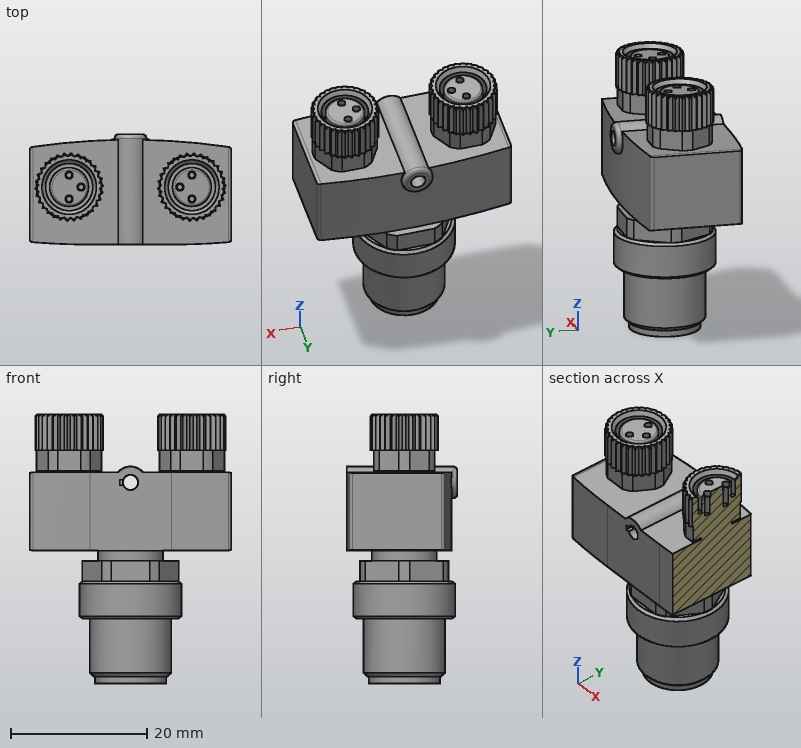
import cadquery as cq
import math

BODY_LENGTH = 29.6
BODY_HEIGHT = 11.5
BODY_FRONT_Y = -8.45
BODY_BACK_Y = 6.95
FRONT_FLAT_LENGTH = 12.0
FACE_BOW_RADIUS = 100.0
CORNER_FILLET = 0.5
END_CROWN_WIDTH = 0.5
END_CROWN_DROP = 0.15

TUBE_DIAMETER = 4.7
TUBE_BACK_Y = 7.78
TUBE_AXIS_Z = 10.0
TUBE_END_FILLET = 0.65
TUBE_BORE_DIAMETER = 2.2
KEY_SLOT_HEIGHT = 0.8
KEY_SLOT_REACH = 1.6
KEY_SLOT_DEPTH = 1.0

SOCKET_SPACING = 18.0
SOCKET_TOP_Z = 20.0
NECK_DIAMETER = 5.9
NUT_BOTTOM_Z = 11.7
NUT_HEX_FLATS = 9.0
NUT_HEX_CORNER_DIAMETER = 9.6
KNURL_BOTTOM_Z = 14.7
KNURL_DIAMETER = 10.0
KNURL_ROOT_DIAMETER = 9.0
KNURL_TEETH = 30
KNURL_TIP_ANGLE = 2.5
KNURL_CHAMFER_WIDTH = 0.3
KNURL_CHAMFER_HEIGHT = 0.35

MOUTH_DIAMETER = 8.0
MOUTH_CONE_DEPTH = 0.65
SOCKET_BORE_DIAMETER = 6.92
SOCKET_BORE_DEPTH = 3.5
INSERT_DIAMETER = 5.7
INSERT_TOP_DROP = 0.5
INSERT_FILLET = 0.3
CONTACT_PITCH_RADIUS = 1.75
CONTACT_ANGLES = (-90, 0, 90)
CONTACT_ENTRY_DIAMETER = 1.1
CONTACT_ENTRY_DEPTH = 1.0
CONTACT_BORE_DIAMETER = 0.86
CONTACT_BORE_DEPTH = 4.0

PLUG_NECK_DIAMETER = 9.6
PLUG_HEX_TOP_Z = -1.5
PLUG_HEX_FLATS = 13.0
PLUG_HEX_CORNER_DIAMETER = 14.2
COLLAR_DIAMETER = 15.0
COLLAR_TOP_Z = -4.5
COLLAR_BOTTOM_Z = -10.0
COLLAR_CHAMFER_HEIGHT = 0.4
COLLAR_CHAMFER_WIDTH = 0.5
SLEEVE_DIAMETER = 12.0
SLEEVE_BOTTOM_Z = -18.5
SLEEVE_CHAMFER = 0.6
TIP_DIAMETER = 10.5
TIP_BOTTOM_Z = -19.5


def cylinder(diameter, bottom_z, top_z):
    """Upright cylinder on the Z axis."""
    return cq.Workplane("XY").workplane(offset=bottom_z).circle(diameter / 2).extrude(top_z - bottom_z)


def rounded_hexagon(flats, corner_diameter, bottom_z, top_z):
    """Upright hexagon with two flats facing +Y and -Y and its corners turned down."""
    point_diameter = flats / math.cos(math.pi / 6)
    hexagon = (
        cq.Workplane("XY")
        .workplane(offset=bottom_z)
        .polygon(6, point_diameter)
        .extrude(top_z - bottom_z)
    )
    return hexagon.intersect(cylinder(corner_diameter, bottom_z, top_z))


def bow_drop(run):
    """Distance a bowed face falls away at the given run from its tangent point."""
    return FACE_BOW_RADIUS - math.sqrt(FACE_BOW_RADIUS**2 - run**2)


def make_end_envelope():
    """Bar along Y whose top and bottom fall away in a shallow arc next to each end face."""
    half = BODY_LENGTH / 2
    crown_start = half - END_CROWN_WIDTH
    low = END_CROWN_DROP
    high = BODY_HEIGHT - END_CROWN_DROP
    crown_radius = (END_CROWN_WIDTH**2 + END_CROWN_DROP**2) / (2 * END_CROWN_DROP)
    section = (
        cq.Workplane("XZ", origin=(0, BODY_BACK_Y, 0))
        .moveTo(-crown_start, 0)
        .lineTo(crown_start, 0)
        .radiusArc((half, low), -crown_radius)
        .lineTo(half, high)
        .radiusArc((crown_start, BODY_HEIGHT), -crown_radius)
        .lineTo(-crown_start, BODY_HEIGHT)
        .radiusArc((-half, high), -crown_radius)
        .lineTo(-half, low)
        .radiusArc((-crown_start, 0), -crown_radius)
        .close()
    )
    return section.extrude(BODY_BACK_Y - BODY_FRONT_Y)


def make_body():
    """Block with a bowed back, a front that curves away from a flat, and rounded end faces."""
    half = BODY_LENGTH / 2
    flat = FRONT_FLAT_LENGTH / 2
    front_run = half - flat
    front_corner_y = BODY_FRONT_Y + bow_drop(front_run)
    front_middle_y = BODY_FRONT_Y + bow_drop(front_run / 2)
    front_middle_x = flat + front_run / 2
    back_corner_y = BODY_BACK_Y - bow_drop(half)
    outline = (
        cq.Workplane("XY")
        .moveTo(-flat, BODY_FRONT_Y)
        .lineTo(flat, BODY_FRONT_Y)
        .threePointArc((front_middle_x, front_middle_y), (half, front_corner_y))
        .lineTo(half, back_corner_y)
        .threePointArc((0, BODY_BACK_Y), (-half, back_corner_y))
        .lineTo(-half, front_corner_y)
        .threePointArc((-front_middle_x, front_middle_y), (-flat, BODY_FRONT_Y))
        .close()
    )
    block = outline.extrude(BODY_HEIGHT)
    block = block.faces("<X or >X").edges("|Z").fillet(CORNER_FILLET)
    return block.intersect(make_end_envelope())


def rod_along_y(diameter):
    """Cylinder on the tube axis, from the front of the body to the back end of the tube."""
    return (
        cq.Workplane("XZ", origin=(0, TUBE_BACK_Y, TUBE_AXIS_Z))
        .circle(diameter / 2)
        .extrude(TUBE_BACK_Y - BODY_FRONT_Y)
    )


def make_tube():
    """Outside of the mounting tube, rounded at its back end."""
    return rod_along_y(TUBE_DIAMETER).faces(">Y").edges().fillet(TUBE_END_FILLET)


def make_tube_bore():
    """Through bore of the tube with a short key slot on its -X side at the front."""
    slot = cq.Workplane("XY").box(
        KEY_SLOT_REACH, KEY_SLOT_DEPTH, KEY_SLOT_HEIGHT, centered=(False, False, True)
    )
    slot = slot.translate((-KEY_SLOT_REACH, BODY_FRONT_Y, TUBE_AXIS_Z))
    return rod_along_y(TUBE_BORE_DIAMETER).union(slot)


def make_knurl():
    """Ring of sharp straight teeth, chamfered at the top."""
    tip_radius = KNURL_DIAMETER / 2
    root_radius = KNURL_ROOT_DIAMETER / 2
    half_pitch = math.pi / KNURL_TEETH
    points = []
    for index in range(2 * KNURL_TEETH):
        radius = tip_radius if index % 2 == 0 else root_radius
        angle = math.radians(KNURL_TIP_ANGLE) + index * half_pitch
        points.append((radius * math.cos(angle), radius * math.sin(angle)))
    teeth = (
        cq.Workplane("XY")
        .workplane(offset=KNURL_BOTTOM_Z)
        .polyline(points)
        .close()
        .extrude(SOCKET_TOP_Z - KNURL_BOTTOM_Z)
    )
    envelope = (
        cylinder(KNURL_DIAMETER, KNURL_BOTTOM_Z, SOCKET_TOP_Z)
        .faces(">Z")
        .chamfer(KNURL_CHAMFER_HEIGHT, KNURL_CHAMFER_WIDTH)
    )
    return teeth.intersect(envelope)


def make_mouth():
    """Space inside the nut: a conical lead-in above a straight bore."""
    cone_bottom_z = SOCKET_TOP_Z - MOUTH_CONE_DEPTH
    bore = cylinder(SOCKET_BORE_DIAMETER, SOCKET_TOP_Z - SOCKET_BORE_DEPTH, cone_bottom_z)
    cone = (
        cq.Workplane("XY")
        .workplane(offset=cone_bottom_z)
        .circle(SOCKET_BORE_DIAMETER / 2)
        .workplane(offset=MOUTH_CONE_DEPTH)
        .circle(MOUTH_DIAMETER / 2)
        .loft()
    )
    return bore.union(cone)


def make_insert():
    """Pin insert standing in the bore, rounded at its top edge."""
    top_z = SOCKET_TOP_Z - INSERT_TOP_DROP
    insert = cylinder(INSERT_DIAMETER, SOCKET_TOP_Z - SOCKET_BORE_DEPTH, top_z)
    return insert.faces(">Z").edges().fillet(INSERT_FILLET)


def make_contacts():
    """Stepped contact holes, cut down from the top of the insert."""
    top_z = SOCKET_TOP_Z - INSERT_TOP_DROP
    entry = cylinder(CONTACT_ENTRY_DIAMETER, top_z - CONTACT_ENTRY_DEPTH, top_z)
    hole = cylinder(CONTACT_BORE_DIAMETER, top_z - CONTACT_BORE_DEPTH, top_z).union(entry)
    hole = hole.translate((CONTACT_PITCH_RADIUS, 0, 0))
    holes = cq.Workplane("XY")
    for angle in CONTACT_ANGLES:
        holes = holes.union(hole.rotate((0, 0, 0), (0, 0, 1), angle))
    return holes


def make_socket(side):
    """Complete socket on side -1 or +1, its contacts facing the middle of the body."""
    neck = cylinder(NECK_DIAMETER, BODY_HEIGHT, NUT_BOTTOM_Z)
    hexagon = rounded_hexagon(NUT_HEX_FLATS, NUT_HEX_CORNER_DIAMETER, NUT_BOTTOM_Z, KNURL_BOTTOM_Z)
    nut = neck.union(hexagon).union(make_knurl()).cut(make_mouth())
    contacts = make_contacts()
    if side > 0:
        contacts = contacts.mirror("YZ")
    socket = nut.union(make_insert()).cut(contacts)
    return socket.translate((side * SOCKET_SPACING / 2, 0, 0))


def make_plug():
    """Stepped plug: neck, hexagon, collar, sleeve and tip."""
    neck = cylinder(PLUG_NECK_DIAMETER, PLUG_HEX_TOP_Z, 0)
    hexagon = rounded_hexagon(PLUG_HEX_FLATS, PLUG_HEX_CORNER_DIAMETER, COLLAR_TOP_Z, PLUG_HEX_TOP_Z)
    collar = cylinder(COLLAR_DIAMETER, COLLAR_BOTTOM_Z, COLLAR_TOP_Z)
    for end in (">Z", "<Z"):
        collar = collar.faces(end).chamfer(COLLAR_CHAMFER_HEIGHT, COLLAR_CHAMFER_WIDTH)
    sleeve = cylinder(SLEEVE_DIAMETER, SLEEVE_BOTTOM_Z, COLLAR_BOTTOM_Z)
    sleeve = sleeve.faces("<Z").edges().chamfer(SLEEVE_CHAMFER)
    tip = cylinder(TIP_DIAMETER, TIP_BOTTOM_Z, SLEEVE_BOTTOM_Z)
    return neck.union(hexagon).union(collar).union(sleeve).union(tip)


result = make_body().union(make_tube()).cut(make_tube_bore())
for socket_side in (-1, 1):
    result = result.union(make_socket(socket_side))
result = result.union(make_plug())